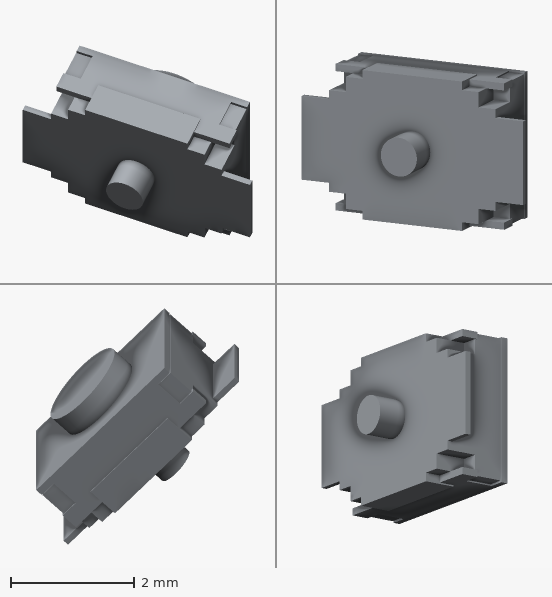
import cadquery as cq

BODY_WIDTH = 3.0
HOUSING_HEIGHT = 2.4
COVER_HEIGHT = 2.45
BODY_DEPTH = 1.2

COVER_PLATE_THICKNESS = 0.12
PLATE_GAP = 0.02
SPACER_INSET = 0.2
WINDOW_WIDTH = 0.28
TAB_FRONT = 0.28
TAB_BACK = 0.58
TAB_THICKNESS = 0.12
TAB_SPAN = 3.05

STEP_DEPTH = 0.55
CENTER_BLOCK_WIDTH = 1.8
CENTER_BLOCK_HEIGHT = 2.5
SHOULDER_WIDTH = 2.4
SHOULDER_HEIGHT = COVER_HEIGHT - 2 * TAB_THICKNESS
CORNER_HEIGHT = 1.7

TERMINAL_SPAN = 4.0
TERMINAL_HEIGHT = 1.4
TERMINAL_THICKNESS = 0.1

PLUNGER_DIAMETER = 0.65
PLUNGER_LENGTH = 0.5
BOSS_DIAMETER = 1.5
BOSS_LENGTH = 0.4


def slab(width, height, front, back):
    """Block centred on the y axis, running from y = front to y = back."""
    return cq.Workplane("XY").box(width, back - front, height).translate((0, (front + back) / 2, 0))


def cylinder(diameter, start, length):
    """Cylinder along the y axis, from y = start towards +Y."""
    return cq.Workplane("XZ", origin=(0, start, 0)).circle(diameter / 2).extrude(-length)


def housing():
    """Main block whose front part steps down in height towards the corners."""
    block = slab(BODY_WIDTH, HOUSING_HEIGHT, STEP_DEPTH, BODY_DEPTH)
    front_steps = [
        (BODY_WIDTH, CORNER_HEIGHT),
        (SHOULDER_WIDTH, SHOULDER_HEIGHT),
        (CENTER_BLOCK_WIDTH, CENTER_BLOCK_HEIGHT),
    ]
    for width, height in front_steps:
        block = block.union(slab(width, height, 0, STEP_DEPTH))
    return block


def cover():
    """Back plate, the bands over the top and bottom, and the tabs at the band ends."""
    plate_front = BODY_DEPTH - COVER_PLATE_THICKNESS
    band_width = BODY_WIDTH - 2 * WINDOW_WIDTH
    tab_height = COVER_HEIGHT / 2 - TAB_THICKNESS
    bands = slab(band_width, COVER_HEIGHT, TAB_BACK, BODY_DEPTH)
    tabs = slab(TAB_SPAN, COVER_HEIGHT, TAB_FRONT, TAB_BACK)
    tabs = tabs.cut(slab(TAB_SPAN, 2 * tab_height, TAB_FRONT, TAB_BACK))
    plate = slab(BODY_WIDTH, COVER_HEIGHT, plate_front, BODY_DEPTH)
    return plate.union(bands).union(tabs)


def plate_gap():
    """Thin gap between housing and back plate, left around a smaller spacer."""
    gap_back = BODY_DEPTH - COVER_PLATE_THICKNESS
    gap_front = gap_back - PLATE_GAP
    spacer_width = BODY_WIDTH - 2 * SPACER_INSET
    spacer_height = HOUSING_HEIGHT - 2 * SPACER_INSET
    gap = slab(BODY_WIDTH, HOUSING_HEIGHT, gap_front, gap_back)
    return gap.cut(slab(spacer_width, spacer_height, gap_front, gap_back))


def terminals():
    """Thin plate flush with the front whose ends stick out on both sides."""
    return slab(TERMINAL_SPAN, TERMINAL_HEIGHT, 0, TERMINAL_THICKNESS)


plunger = cylinder(PLUNGER_DIAMETER, -PLUNGER_LENGTH, PLUNGER_LENGTH)
boss = cylinder(BOSS_DIAMETER, BODY_DEPTH, BOSS_LENGTH)

result = housing().union(cover()).cut(plate_gap())
result = result.union(terminals()).union(plunger).union(boss)